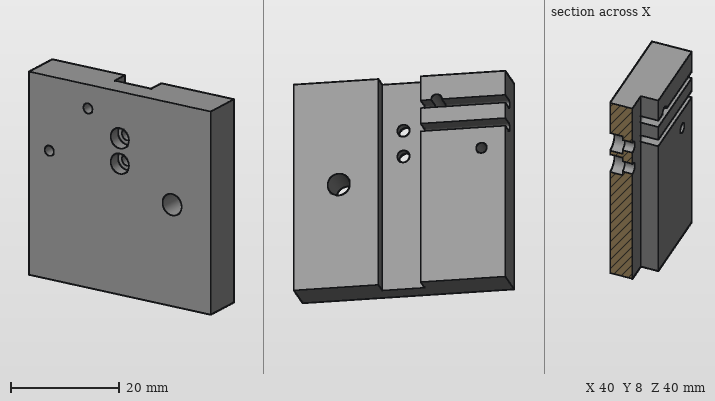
import cadquery as cq

plate_size = 40.0
plate_thickness = 8.0

channel_width = 8.0
channel_depth = 3.5

slot_width = 1.5
slot_depth = 4.0
slot_heights = (14.55, 10.05)

screw_hole_diameter = 2.3
counterbore_diameter = 4.0
counterbore_depth = 2.5
screw_spacing = 5.0
upper_screw_height = 10.8
screw_centres = [(0, upper_screw_height), (0, upper_screw_height - screw_spacing)]

pin_hole_diameter = 2.0
pin_centres = [(-7.0, 15.3), (-15.5, 5.3)]
large_hole_diameter = 4.2
large_hole_centre = (11.5, 0)


def make_plate():
    return cq.Workplane("XY").box(plate_size, plate_thickness, plate_size, centered=(True, False, True))


def bores(centres, diameter, depth):
    """Cylinders running from the front face into the plate along +Y."""
    return cq.Workplane("XZ").pushPoints(centres).circle(diameter / 2).extrude(-depth)


def make_channel():
    channel = cq.Workplane("XY").box(channel_width, channel_depth, plate_size, centered=(True, False, True))
    return channel.translate((0, plate_thickness - channel_depth, 0))


def make_side_slot(height):
    """Round-bottomed slot that opens on the back face and the -X side."""
    radius = slot_width / 2
    bottom = plate_thickness - slot_depth
    length = (plate_size - channel_width) / 2
    return (
        cq.Workplane("YZ", origin=(-plate_size / 2, 0, height))
        .moveTo(plate_thickness, radius)
        .lineTo(bottom + radius, radius)
        .threePointArc((bottom, 0), (bottom + radius, -radius))
        .lineTo(plate_thickness, -radius)
        .close()
        .extrude(length)
    )


result = make_plate().cut(make_channel())
for slot_height in slot_heights:
    result = result.cut(make_side_slot(slot_height))

result = result.cut(bores(screw_centres, screw_hole_diameter, plate_thickness))
result = result.cut(bores(screw_centres, counterbore_diameter, counterbore_depth))
result = result.cut(bores(pin_centres, pin_hole_diameter, plate_thickness))
result = result.cut(bores([large_hole_centre], large_hole_diameter, plate_thickness))